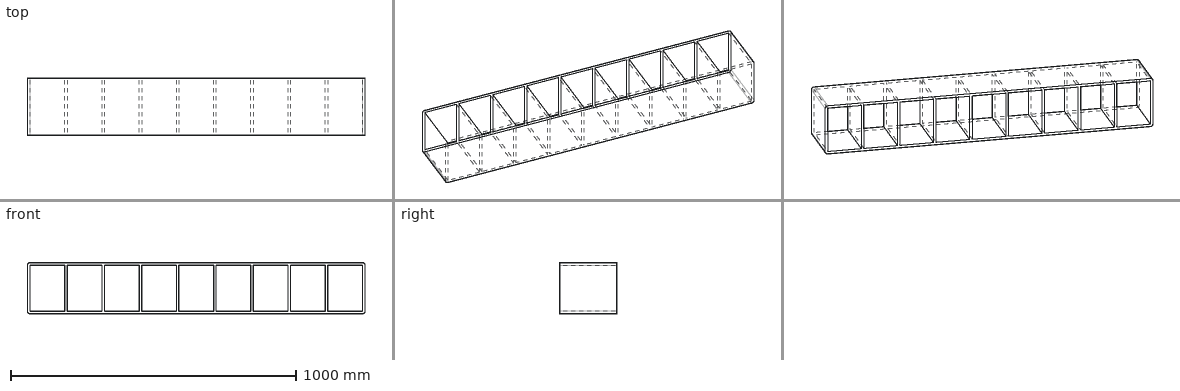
import cadquery as cq

length = 1185.0
depth = 200.0
height = 180.0

wall = 10.0
cell_count = 9
corner_radius = 10.0

cell_width = (length - (cell_count + 1) * wall) / cell_count
cell_height = height - 2 * wall
cell_pitch = cell_width + wall

body = cq.Workplane("XY").box(length, depth, height).edges("|Y").fillet(corner_radius)

cells = (
    cq.Workplane("XZ")
    .rarray(cell_pitch, 12, cell_count, 1)
    .rect(cell_width, cell_height)
    .extrude(depth, both=True)
)

result = body.cut(cells)